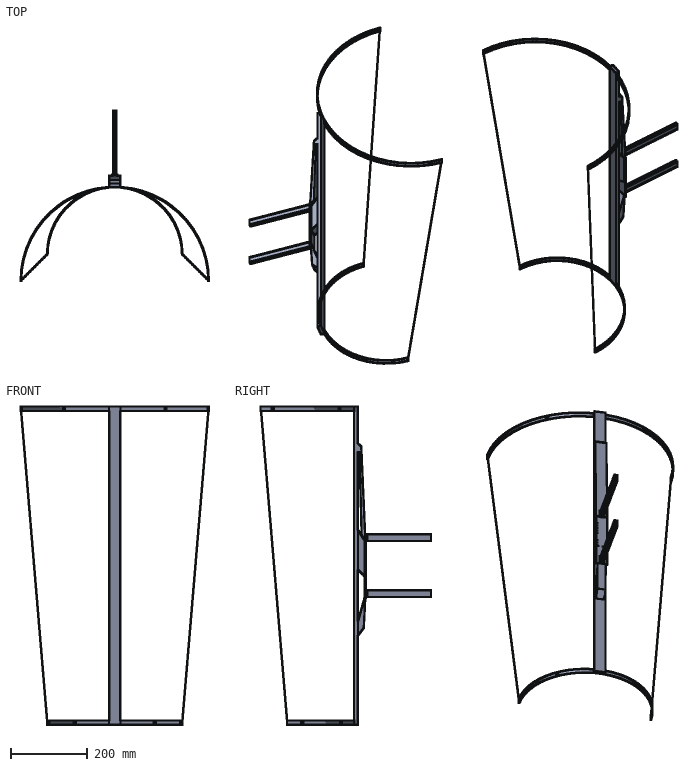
import cadquery as cq
import math


upper_hoop_radius = 495.74 / 2
lower_hoop_radius = 178.5
strip_thickness = 2.0
strip_height = 12.0
frame_height = 837.7
hoop_back = upper_hoop_radius

hole_diameter = 6.0
upper_hole_angles = (32.7, 82.6)
lower_hole_angles = (36.5, 76.9)

wire_diameter = 1.0

post_width = 30.0
post_depth = 10.0
post_front = hoop_back - strip_thickness
post_back = post_front + post_depth

hook_root_top = 741.0
hook_root_bottom = 717.5
hook_shoulder = (265.4, 732.5)
hook_gap = 4.0
hook_tip = (276.2, 486.0)
hook_inner_foot = (265.7, 500.0)

bracket_width = 30.0
bracket_back = 276.9
plate_thickness = 3.4
plate_front = bracket_back - plate_thickness
plate_top = hook_tip[1]
plate_bottom = 334.0
leg_width = 22.0
leg_shoulder = (272.0, 255.0)
leg_root_top = 271.0
leg_root_bottom = 234.0
leg_bend = 351.0

block_top_at_post = 514.0
block_bottom_at_post = 408.0
block_bottom_at_plate = 391.0
block_width = leg_width

arm_tip = 448.55
arm_width = 8.0
arm_slot_width = 4.0
arm_height = 18.5
arm_foot_width = 14.0
arm_foot_thickness = 3.0
arm_foot_bevel = 2.0
arm_levels = (345.5, 492.3)


def extrude_across(points, width):
    """Solid of the given X width, centred on X, from a (Y, Z) outline."""
    return cq.Workplane("YZ").polyline(points).close().extrude(width / 2, both=True)


def make_hoop(radius, base, hole_angles):
    """Half-circle strip with radial holes on both sides, trimmed flush with the post front."""
    centre_y = hoop_back - radius
    inner = radius - strip_thickness
    hoop = (
        cq.Workplane("XY", origin=(0, centre_y, base))
        .moveTo(-radius, 0)
        .threePointArc((0, radius), (radius, 0))
        .lineTo(inner, 0)
        .threePointArc((0, inner), (-inner, 0))
        .close()
        .extrude(strip_height)
    )
    notch = cq.Workplane("XY", origin=(0, post_front - post_depth / 2, base + strip_height / 2)).box(
        post_width, post_depth, strip_height
    )
    hoop = hoop.cut(notch)
    for angle in hole_angles:
        for side in (-1, 1):
            turn = math.radians(side * angle)
            outward = cq.Vector(math.sin(turn), math.cos(turn), 0)
            start = cq.Vector(0, centre_y, base + strip_height / 2) + outward * (inner - strip_thickness)
            hole = cq.Solid.makeCylinder(hole_diameter / 2, 3 * strip_thickness, start, outward)
            hoop = hoop.cut(cq.Workplane(hole))
    return hoop


def make_wire(side):
    """Wire between the middles of the two strips at their ends, let into both strips."""
    inset = strip_thickness / 2
    lower_end = cq.Vector(
        side * (lower_hoop_radius - inset), hoop_back - lower_hoop_radius + inset, strip_height / 2
    )
    upper_end = cq.Vector(side * (upper_hoop_radius - inset), inset, frame_height - strip_height / 2)
    run = upper_end - lower_end
    return cq.Workplane(cq.Solid.makeCylinder(wire_diameter / 2, run.Length, lower_end, run))


def make_frame():
    """Post with its hook, both hoops and both wires, joined into one body."""
    frame = extrude_across(
        [
            (post_front, 0),
            (post_back, 0),
            (post_back, hook_root_bottom),
            (post_back + hook_gap, hook_root_bottom),
            hook_inner_foot,
            (plate_front, plate_top),
            hook_tip,
            hook_shoulder,
            (post_back, hook_root_top),
            (post_back, frame_height),
            (post_front, frame_height),
        ],
        post_width,
    )
    frame = frame.union(make_hoop(lower_hoop_radius, 0, lower_hole_angles))
    frame = frame.union(make_hoop(upper_hoop_radius, frame_height - strip_height, upper_hole_angles))
    for side in (-1, 1):
        frame = frame.union(make_wire(side))
    return frame


def make_bracket():
    """Arm plate under the hook tip, with a leg that slopes down to the post."""
    plate = extrude_across(
        [
            (plate_front, plate_bottom),
            (bracket_back, plate_bottom),
            (bracket_back, plate_top),
            (plate_front, plate_top),
        ],
        bracket_width,
    )
    leg = extrude_across(
        [
            (plate_front, leg_bend),
            (bracket_back, leg_bend),
            leg_shoulder,
            (post_back, leg_root_bottom),
            (post_back, leg_root_top),
            (plate_front, plate_bottom),
        ],
        leg_width,
    )
    return plate.union(leg)


def make_block():
    """Spacer with sloped ends between the post and the bracket plate."""
    return extrude_across(
        [
            (post_back, block_top_at_post),
            (plate_front, plate_top),
            (plate_front, block_bottom_at_plate),
            (post_back, block_bottom_at_post),
        ],
        block_width,
    )


def make_arm(level):
    """Two parallel legs rising from a bevelled foot on the bracket plate."""
    foot_half = arm_foot_width / 2
    leg_half = arm_width / 2
    slot_half = arm_slot_width / 2
    foot_top = bracket_back + arm_foot_thickness
    right_half = [
        (foot_half, bracket_back),
        (foot_half, foot_top),
        (leg_half, foot_top + arm_foot_bevel),
        (leg_half, arm_tip),
        (slot_half, arm_tip),
        (slot_half, foot_top),
    ]
    left_half = [(-x, y) for x, y in reversed(right_half)]
    return (
        cq.Workplane("XY", origin=(0, 0, level - arm_height / 2))
        .polyline(right_half + left_half)
        .close()
        .extrude(arm_height)
    )


frame = make_frame()
bracket = make_bracket()
block = make_block()
arms = [make_arm(level) for level in arm_levels]

result = cq.Compound.makeCompound(
    [frame.val(), bracket.val(), block.val(), *[arm.val() for arm in arms]]
)